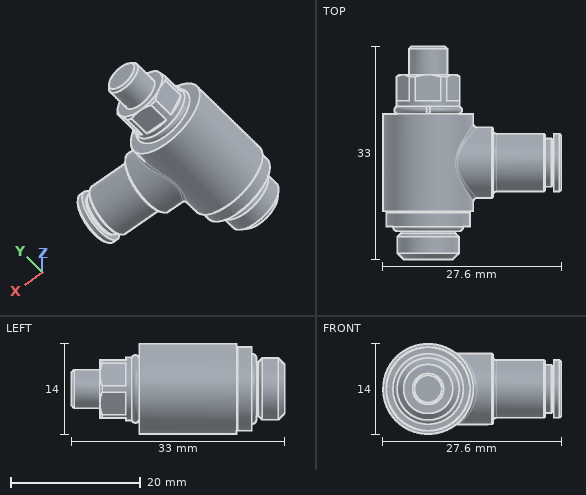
import cadquery as cq
import math


BODY_RADIUS = 7.0
BODY_HALF_LENGTH = 7.55

FLANGE_RADIUS = 6.5
FLANGE_END_Y = -9.9
FLANGE_CHAMFER_RADIAL = 0.1
FLANGE_CHAMFER_AXIAL = 0.2
SEAL_CENTRE_RADIUS = 4.7
SEAL_SECTION_RADIUS = 0.75
NECK_RADIUS = 4.2
THREAD_RADIUS = 4.8
THREAD_START_Y = -11.5
THREAD_END_Y = -15.0
THREAD_TIP_CHAMFER = 1.0
BORE_RADIUS = 2.1
BORE_DEPTH = 10.0
BORE_CHAMFER = 0.3

NUT_COLLAR_RADIUS = 4.92
NUT_ACROSS_FLATS = 9.0
NUT_START_Y = 8.7
FLATS_START_Y = 9.6
NUT_END_Y = 13.6
NUT_CHAMFER_AXIAL = 0.33
SNAP_RING_CENTRE_RADIUS = 4.7
SNAP_RING_SECTION_RADIUS = 0.57
SNAP_RING_GAP = 0.5
GROOVE_RADIUS = 4.2
STEM_RADIUS = 3.0
STEM_END_Y = 18.01
STEM_CHAMFER = 0.42

SOCKET_RADIUS = 5.5
SOCKET_END_X = 10.05
SOCKET_CHAMFER = 0.2
SOCKET_ROOT_FILLET = 0.5
TUBE_RADIUS = 4.5
TUBE_END_X = 18.08
TUBE_CHAMFER = 0.2
SLEEVE_RADIUS = 3.75
SLEEVE_END_X = 19.25
SLEEVE_CHAMFER = 0.2
RELEASE_RING_START_X = 19.43
RELEASE_RING_END_X = 20.6
RELEASE_RING_CHAMFER = 0.3
BODY_BRANCH_FILLET = 0.5


def axial_profile():
    """Start of a half-section whose points are (position along Y, radius)."""
    return cq.Workplane("YZ")


def revolve_about_y(profile):
    return profile.close().revolve(360, (0, 0, 0), (1, 0, 0))


def cylinder_along_y(radius, start_y, end_y):
    profile = (
        axial_profile()
        .moveTo(start_y, 0)
        .lineTo(start_y, radius)
        .lineTo(end_y, radius)
        .lineTo(end_y, 0)
    )
    return revolve_about_y(profile)


def torus_about_y(centre_radius, section_radius, centre_y):
    section = axial_profile().center(centre_y, centre_radius).circle(section_radius)
    return section.revolve(360, (0, -centre_radius, 0), (1, -centre_radius, 0))


def make_socket():
    socket = cq.Workplane("YZ").circle(SOCKET_RADIUS).extrude(SOCKET_END_X)
    return socket.faces(">X").chamfer(SOCKET_CHAMFER)


def make_body():
    sleeve = cylinder_along_y(BODY_RADIUS, -BODY_HALF_LENGTH, BODY_HALF_LENGTH)
    body = sleeve.union(make_socket())
    junction = cq.selectors.BoxSelector(
        (0, -SOCKET_RADIUS, -SOCKET_RADIUS),
        (BODY_RADIUS, SOCKET_RADIUS, SOCKET_RADIUS),
    )
    return body.edges(junction).fillet(BODY_BRANCH_FILLET)


def make_branch_tube():
    """Tube, thin sleeve and release ring as one turned piece that starts at the branch root."""
    sleeve_tip_radius = SLEEVE_RADIUS - SLEEVE_CHAMFER
    ring_tip_radius = TUBE_RADIUS - RELEASE_RING_CHAMFER
    fillet_end_x = SOCKET_END_X + SOCKET_ROOT_FILLET
    fillet_centre_radius = TUBE_RADIUS + SOCKET_ROOT_FILLET
    fillet_offset = SOCKET_ROOT_FILLET * math.sqrt(0.5)
    profile = (
        cq.Workplane("XZ")
        .lineTo(0, fillet_centre_radius)
        .lineTo(SOCKET_END_X, fillet_centre_radius)
        .threePointArc(
            (fillet_end_x - fillet_offset, fillet_centre_radius - fillet_offset),
            (fillet_end_x, TUBE_RADIUS),
        )
        .lineTo(TUBE_END_X - TUBE_CHAMFER, TUBE_RADIUS)
        .lineTo(TUBE_END_X, TUBE_RADIUS - TUBE_CHAMFER)
        .lineTo(TUBE_END_X, SLEEVE_RADIUS)
        .lineTo(SLEEVE_END_X - SLEEVE_CHAMFER, SLEEVE_RADIUS)
        .lineTo(SLEEVE_END_X, sleeve_tip_radius)
        .lineTo(RELEASE_RING_START_X, sleeve_tip_radius)
        .lineTo(RELEASE_RING_START_X, TUBE_RADIUS)
        .lineTo(RELEASE_RING_END_X - RELEASE_RING_CHAMFER, TUBE_RADIUS)
        .lineTo(RELEASE_RING_END_X, ring_tip_radius)
        .lineTo(RELEASE_RING_END_X, 0)
        .close()
    )
    return profile.revolve(360, (0, 0, 0), (1, 0, 0))


def make_threaded_end():
    thread_taper = THREAD_RADIUS - NECK_RADIUS
    profile = (
        axial_profile()
        .lineTo(0, FLANGE_RADIUS - FLANGE_CHAMFER_RADIAL)
        .lineTo(-BODY_HALF_LENGTH, FLANGE_RADIUS - FLANGE_CHAMFER_RADIAL)
        .lineTo(-BODY_HALF_LENGTH - FLANGE_CHAMFER_AXIAL, FLANGE_RADIUS)
        .lineTo(FLANGE_END_Y, FLANGE_RADIUS)
        .lineTo(FLANGE_END_Y, NECK_RADIUS)
        .lineTo(THREAD_START_Y + thread_taper, NECK_RADIUS)
        .lineTo(THREAD_START_Y, THREAD_RADIUS)
        .lineTo(THREAD_END_Y + THREAD_TIP_CHAMFER, THREAD_RADIUS)
        .lineTo(THREAD_END_Y, THREAD_RADIUS - THREAD_TIP_CHAMFER)
        .lineTo(THREAD_END_Y, 0)
    )
    seal = torus_about_y(SEAL_CENTRE_RADIUS, SEAL_SECTION_RADIUS, FLANGE_END_Y)
    return revolve_about_y(profile).union(seal)


def make_bore():
    """Blind bore with a chamfered mouth."""
    floor_y = THREAD_END_Y + BORE_DEPTH
    profile = (
        axial_profile()
        .moveTo(THREAD_END_Y, 0)
        .lineTo(THREAD_END_Y, BORE_RADIUS + BORE_CHAMFER)
        .lineTo(THREAD_END_Y + BORE_CHAMFER, BORE_RADIUS)
        .lineTo(floor_y, BORE_RADIUS)
        .lineTo(floor_y, 0)
    )
    return revolve_about_y(profile)


def make_nut():
    """Round nut with six flats, whose outer end is bevelled down to the flats."""
    flat_distance = NUT_ACROSS_FLATS / 2
    profile = (
        axial_profile()
        .moveTo(NUT_START_Y, 0)
        .lineTo(NUT_START_Y, NUT_COLLAR_RADIUS)
        .lineTo(NUT_END_Y - NUT_CHAMFER_AXIAL, NUT_COLLAR_RADIUS)
        .lineTo(NUT_END_Y, flat_distance)
        .lineTo(NUT_END_Y, 0)
    )
    across_corners = NUT_ACROSS_FLATS / math.cos(math.pi / 6)
    hexagon = (
        cq.Workplane("XZ", origin=(0, FLATS_START_Y, 0))
        .polygon(6, across_corners)
        .extrude(FLATS_START_Y - NUT_END_Y)
    )
    collar = cylinder_along_y(NUT_COLLAR_RADIUS, NUT_START_Y, FLATS_START_Y)
    return revolve_about_y(profile).intersect(hexagon.union(collar))


def make_snap_ring():
    """Round-wire ring, split by a gap at its +Z side."""
    centre_y = (BODY_HALF_LENGTH + NUT_START_Y) / 2
    ring = torus_about_y(SNAP_RING_CENTRE_RADIUS, SNAP_RING_SECTION_RADIUS, centre_y)
    gap = (
        cq.Workplane("XY")
        .center(0, centre_y)
        .rect(SNAP_RING_GAP, SNAP_RING_CENTRE_RADIUS)
        .extrude(BODY_RADIUS)
    )
    return ring.cut(gap)


def make_adjusting_end():
    core = cylinder_along_y(GROOVE_RADIUS, 0, NUT_START_Y)
    stem = cylinder_along_y(STEM_RADIUS, 0, STEM_END_Y).faces(">Y").chamfer(STEM_CHAMFER)
    return core.union(make_snap_ring()).union(make_nut()).union(stem)


result = (
    make_body()
    .union(make_branch_tube())
    .union(make_threaded_end())
    .union(make_adjusting_end())
    .cut(make_bore())
)